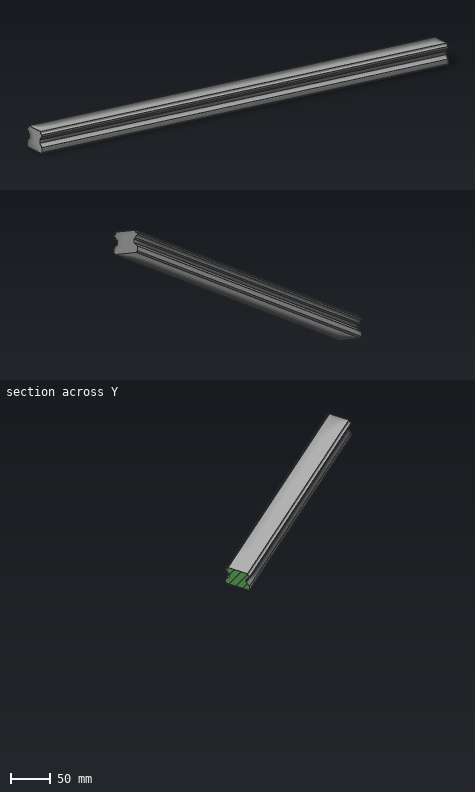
import cadquery as cq

length = 620.0
width = 34.0
height = 29.0

top_width = 28.0
upper_groove_top = 28.0
land_top = 25.5
land_bottom = 23.0
lower_groove_bottom = 19.0
neck_width = 28.0
upper_groove_sag = 0.8
lower_groove_sag = 0.5

waist_width = 24.0
waist_top = 17.5
waist_bottom = 13.0

shoulder_width = 33.5
foot_side_top = 7.0
bottom_bevel = 2.0

half_width = width / 2
half_top = top_width / 2
half_neck = neck_width / 2
half_waist = waist_width / 2
half_shoulder = shoulder_width / 2
shoulder_bottom = waist_bottom - (half_shoulder - half_waist)

right_outline = (
    cq.Workplane("XZ")
    .lineTo(half_width - bottom_bevel, 0)
    .lineTo(half_width, bottom_bevel)
    .lineTo(half_width, foot_side_top)
    .lineTo(half_shoulder, shoulder_bottom)
    .lineTo(half_waist, waist_bottom)
    .lineTo(half_waist, waist_top)
    .lineTo(half_neck, lower_groove_bottom)
    .sagittaArc((half_width, land_bottom), lower_groove_sag)
    .lineTo(half_width, land_top)
    .sagittaArc((half_top, upper_groove_top), upper_groove_sag)
    .lineTo(half_top, height)
    .lineTo(0, height)
)

result = right_outline.mirrorY().extrude(length / 2, both=True)